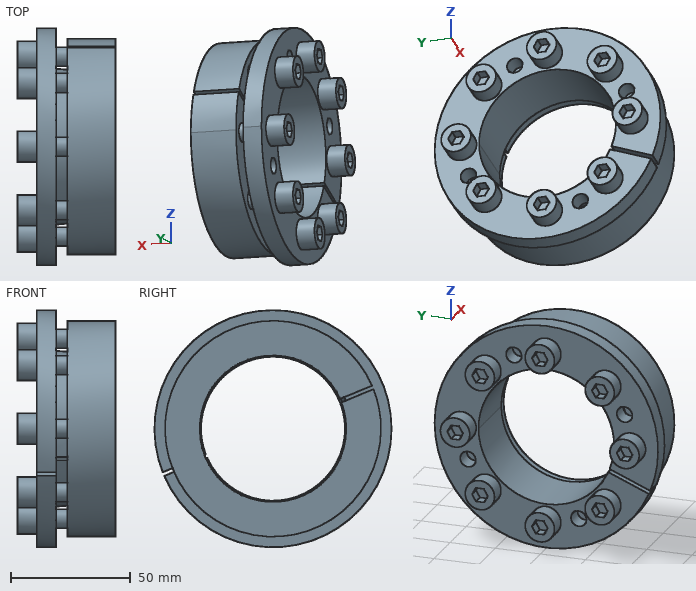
import cadquery as cq
import math


FLANGE_RADIUS = 49.5
FLANGE_THICKNESS = 8.1
BORE_RADIUS = 30.0
SLEEVE_RECESS = 4.7

RING_RADIUS = 45.0
RING_LENGTH = 20.1
FLANGE_TO_RING_GAP = 4.7
RING_START = FLANGE_THICKNESS + FLANGE_TO_RING_GAP
RING_END = RING_START + RING_LENGTH
SLEEVE_END = RING_END - SLEEVE_RECESS

TAPER_ANGLE = 4.5
TAPER_RADIUS_AT_RING = 32.2

SLIT_WIDTH = 1.6
SLIT_REACH = 54.4
INNER_SLIT_ANGLE = -22.5
OUTER_SLIT_ANGLE = 157.5

SCREW_COUNT = 8
PITCH_RADIUS = 37.5
HEAD_DIAMETER = 13.0
HEAD_HEIGHT = 8.0
SHANK_DIAMETER = 8.0
SHANK_LENGTH = 25.0
SOCKET_SIDES = 6
SOCKET_ACROSS_FLATS = 6.0
SOCKET_DEPTH = 4.9

JACK_HOLE_COUNT = 4
JACK_HOLE_DIAMETER = 6.8
JACK_HOLE_START_ANGLE = 22.5


def face_at(x):
    """Workplane facing -X; a negative extrusion runs towards +X."""
    return cq.Workplane(cq.Plane(origin=(x, 0, 0), xDir=(0, -1, 0), normal=(-1, 0, 0)))


def taper_radius(x):
    return TAPER_RADIUS_AT_RING - (x - RING_START) * math.tan(math.radians(TAPER_ANGLE))


def pitch_points(count, start_angle=0.0):
    """Evenly spaced points on the pitch circle."""
    angles = [math.radians(start_angle + 360.0 * i / count) for i in range(count)]
    return [(PITCH_RADIUS * math.cos(a), PITCH_RADIUS * math.sin(a)) for a in angles]


def revolve_profile(points):
    """Revolve an (x, radius) outline about the X axis."""
    return cq.Workplane("XY").polyline(points).close().revolve(360, (0, 0, 0), (1, 0, 0))


def slit_cutter(angle):
    """Slab from the axis outwards at the given angle, as long as both rings."""
    return (
        face_at(0)
        .transformed(rotate=(0, 0, angle))
        .rect(SLIT_REACH, SLIT_WIDTH, centered=(False, True))
        .extrude(-RING_END)
    )


def make_inner_ring(shanks):
    ring = revolve_profile([
        (0, BORE_RADIUS),
        (0, FLANGE_RADIUS),
        (FLANGE_THICKNESS, FLANGE_RADIUS),
        (FLANGE_THICKNESS, taper_radius(FLANGE_THICKNESS)),
        (SLEEVE_END, taper_radius(SLEEVE_END)),
        (SLEEVE_END, BORE_RADIUS),
    ])
    jack_holes = (
        face_at(0)
        .pushPoints(pitch_points(JACK_HOLE_COUNT, JACK_HOLE_START_ANGLE))
        .circle(JACK_HOLE_DIAMETER / 2)
        .extrude(-FLANGE_THICKNESS)
    )
    return ring.cut(shanks).cut(jack_holes).cut(slit_cutter(INNER_SLIT_ANGLE))


def make_outer_ring(shanks):
    ring = revolve_profile([
        (RING_START, taper_radius(RING_START)),
        (RING_START, RING_RADIUS),
        (RING_END, RING_RADIUS),
        (RING_END, taper_radius(RING_END)),
    ])
    return ring.cut(shanks).cut(slit_cutter(OUTER_SLIT_ANGLE))


def make_shanks(points):
    return face_at(0).pushPoints(points).circle(SHANK_DIAMETER / 2).extrude(-SHANK_LENGTH)


def make_screw(point):
    head = face_at(0).pushPoints([point]).circle(HEAD_DIAMETER / 2).extrude(HEAD_HEIGHT)
    socket_corner_diameter = SOCKET_ACROSS_FLATS / math.cos(math.pi / SOCKET_SIDES)
    socket = (
        face_at(-HEAD_HEIGHT)
        .pushPoints([point])
        .polygon(SOCKET_SIDES, socket_corner_diameter)
        .extrude(-SOCKET_DEPTH)
    )
    return head.union(make_shanks([point])).cut(socket)


screw_points = pitch_points(SCREW_COUNT)
screw_shanks = make_shanks(screw_points)

inner_ring = make_inner_ring(screw_shanks)
outer_ring = make_outer_ring(screw_shanks)
screws = [make_screw(point) for point in screw_points]

result = cq.Compound.makeCompound([
    inner_ring.val(),
    outer_ring.val(),
    *[screw.val() for screw in screws],
])